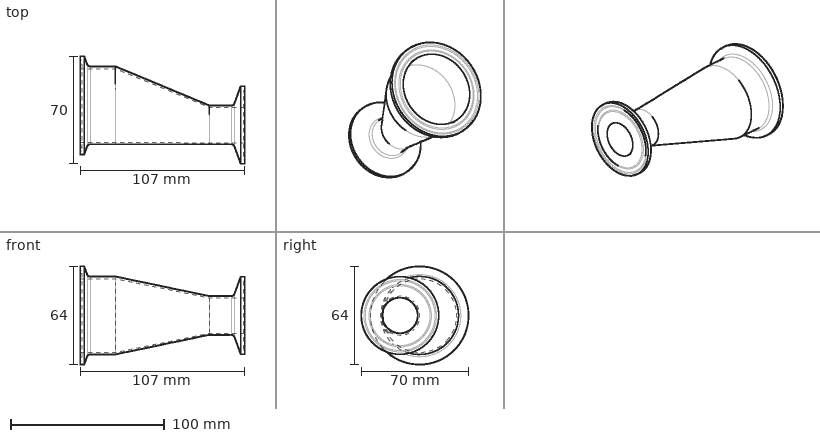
import cadquery as cq
import math


LARGE_TUBE_DIAMETER = 50.8
LARGE_BORE_DIAMETER = 47.8
LARGE_FLANGE_DIAMETER = 64.0

SMALL_TUBE_DIAMETER = 25.4
SMALL_BORE_DIAMETER = 23.0
SMALL_FLANGE_DIAMETER = 50.5

TOTAL_LENGTH = 107.0
FERRULE_LENGTH = 23.0
TAPER_LENGTH = TOTAL_LENGTH - 2 * FERRULE_LENGTH

AXIS_OFFSET = (LARGE_TUBE_DIAMETER - SMALL_TUBE_DIAMETER) / 2

RIM_THICKNESS = 2.7
CLAMP_ANGLE = math.radians(20)
NECK_RADIUS = 2.0

GROOVE_INSET = 3.75
GROOVE_RADIUS = 1.5
LIP_RADIUS = 1.05
GROOVE_HALF_WIDTH = 2.05


def ferrule_body(tube_diameter, flange_diameter):
    """Solid ferrule along +X with its clamping face at X = 0."""
    tube_radius = tube_diameter / 2
    flange_radius = flange_diameter / 2

    corner_x = RIM_THICKNESS + (flange_radius - tube_radius) * math.tan(CLAMP_ANGLE)
    turn = math.pi / 2 - CLAMP_ANGLE
    tangent_length = NECK_RADIUS * math.tan(turn / 2)

    cone_end = (
        corner_x - tangent_length * math.sin(CLAMP_ANGLE),
        tube_radius + tangent_length * math.cos(CLAMP_ANGLE),
    )
    neck_end = (corner_x + tangent_length, tube_radius)
    neck_middle = (
        neck_end[0] - NECK_RADIUS * math.sin(turn / 2),
        tube_radius + NECK_RADIUS * (1 - math.cos(turn / 2)),
    )

    return (
        cq.Workplane("XY")
        .moveTo(0, 0)
        .lineTo(0, flange_radius)
        .lineTo(RIM_THICKNESS, flange_radius)
        .lineTo(*cone_end)
        .threePointArc(neck_middle, neck_end)
        .lineTo(FERRULE_LENGTH, tube_radius)
        .lineTo(FERRULE_LENGTH, 0)
        .close()
        .revolve(360, (0, 0, 0), (1, 0, 0))
    )


def gasket_groove(flange_diameter):
    """Ring to be cut from the clamping face at X = 0."""
    centre = flange_diameter / 2 - GROOVE_INSET

    wall_angle = math.asin(GROOVE_HALF_WIDTH / (GROOVE_RADIUS + LIP_RADIUS))
    depth = (GROOVE_RADIUS + LIP_RADIUS) * (1 - math.cos(wall_angle))

    tangent_x = LIP_RADIUS * (1 - math.cos(wall_angle))
    tangent_offset = GROOVE_RADIUS * math.sin(wall_angle)
    lip_middle_x = LIP_RADIUS * (1 - math.cos(wall_angle / 2))
    lip_middle_offset = GROOVE_HALF_WIDTH - LIP_RADIUS * math.sin(wall_angle / 2)

    return (
        cq.Workplane("XY")
        .moveTo(0, centre - GROOVE_HALF_WIDTH)
        .threePointArc((lip_middle_x, centre - lip_middle_offset), (tangent_x, centre - tangent_offset))
        .threePointArc((depth, centre), (tangent_x, centre + tangent_offset))
        .threePointArc((lip_middle_x, centre + lip_middle_offset), (0, centre + GROOVE_HALF_WIDTH))
        .close()
        .revolve(360, (0, 0, 0), (1, 0, 0))
    )


def ferrule(tube_diameter, bore_diameter, flange_diameter):
    bore = cq.Workplane("YZ").circle(bore_diameter / 2).extrude(FERRULE_LENGTH)
    body = ferrule_body(tube_diameter, flange_diameter)
    return body.cut(bore).cut(gasket_groove(flange_diameter))


def eccentric_taper(large_diameter, small_diameter):
    """Straight-sided taper between the inner ends of the two ferrules."""
    return (
        cq.Workplane("YZ", origin=(FERRULE_LENGTH, 0, 0))
        .circle(large_diameter / 2)
        .workplane(offset=TAPER_LENGTH)
        .center(-AXIS_OFFSET, 0)
        .circle(small_diameter / 2)
        .loft(ruled=True)
    )


large_ferrule = ferrule(LARGE_TUBE_DIAMETER, LARGE_BORE_DIAMETER, LARGE_FLANGE_DIAMETER)

small_ferrule = (
    ferrule(SMALL_TUBE_DIAMETER, SMALL_BORE_DIAMETER, SMALL_FLANGE_DIAMETER)
    .rotate((0, 0, 0), (0, 0, 1), 180)
    .translate((TOTAL_LENGTH, -AXIS_OFFSET, 0))
)

taper_outside = eccentric_taper(LARGE_TUBE_DIAMETER, SMALL_TUBE_DIAMETER)
taper_inside = eccentric_taper(LARGE_BORE_DIAMETER, SMALL_BORE_DIAMETER)
taper = taper_outside.cut(taper_inside)

result = large_ferrule.union(taper).union(small_ferrule)